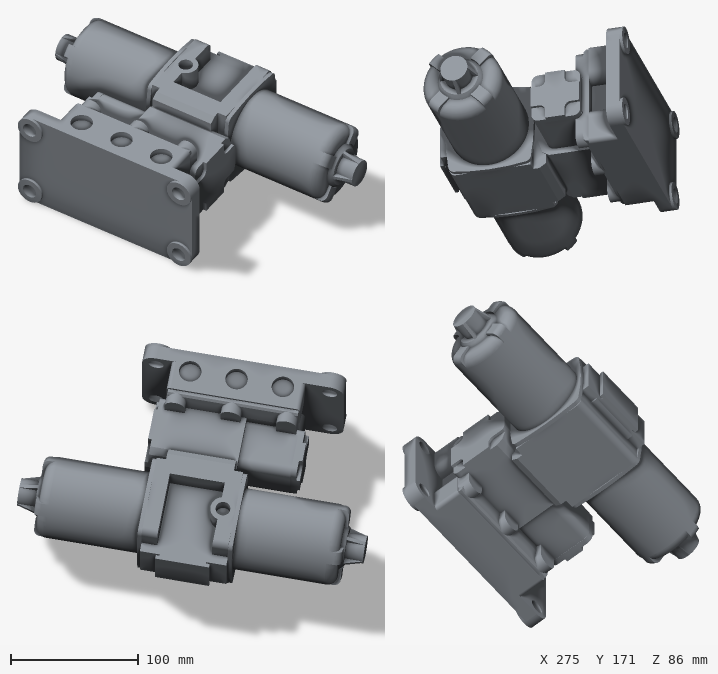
import cadquery as cq


overall_length = 275.0
coil_radius = 64.0 / 2
coil_rib_start_x = 110.0
coil_lobe_x = 119.4
coil_rib_x = 121.8
coil_rib_width = 10.5
coil_rib_radius = 5.0
coil_lobe_radius = 8.2
nut_base_radius = 18.5
nut_top_radius = 15.5
nut_top_x = 123.0
stem_radius = 11.0
fin_width = 2.8

housing_length = 68.8
housing_height = 70.0
housing_back_y = 33.5
housing_front_y = -32.5
housing_edge_radius = 5.0
flange_thickness = 3.3
flange_half_side = 33.0
flange_bulge = 3.0
flange_corner_radius = 5.0
foot_length = 54.0
foot_chamfer_y = -37.5
foot_front_y = -43.0
foot_front_height = 62.7
step_length = 43.7
step_front_y = -21.0
eye_x = -24.5
eye_y = 1.5
eye_radius = 10.0
eye_hole_radius = 5.8
eye_hole_depth = 11.0

connector_height = 34.5
connector_back_y = 41.0
label_length = 43.0
label_back_y = 45.0
label_neck_length = 36.8
label_neck_back_y = 42.0
lip_depth = 1.6
lip_back_y = 38.8

body_left_x = -27.8
body_right_x = 44.8
body_half_height = 25.0
body_back_y = -35.5
body_nose_half_height = 8.2
body_slope_y = -40.2
body_slope_half_height = 21.7
body_shoulder_y = -45.6
body_front_y = -83.3
end_cap_left_x = 36.8
end_cap_front_y = -89.6
end_cap_edge_radius = 5.5

cover_left_x = -77.0
cover_back_y = -44.8
cover_front_y = -84.5
cover_height = 40.7
cover_edge_radius = 5.5
cover_sleeve_left_x = -69.5
cover_sleeve_back_y = -44.3
cover_sleeve_front_y = -85.0
cover_sleeve_height = 40.2
cover_sleeve_edge_radius = 6.3

pocket_depth = 2.8
pocket_size = 11.8
pocket_radius = 5.0

screw_flange_left_x = -68.0
screw_flange_right_x = 35.8
screw_flange_half_height = 41.0
screw_flange_slope_y = -85.5
screw_flange_edge_y = -87.2
screw_flange_edge_drop = 1.6
screw_flange_notch_height = 33.5
screw_flange_notch_depth = 2.8
screw_lobe_radius = 8.0
screw_lobe_back_y = -78.6
screw_center_x = -15.7
screw_pitch = 44.3

manifold_length = 106.2
manifold_center_x = -16.0
manifold_back_y = -89.6
manifold_front_y = -115.5
manifold_edge_radius = 3.3
waist_height = 24.2
waist_depth = 9.4
waist_lip_radius = 9.0
port_radius = 8.8
port_depth = 5.5
port_center_x = -15.5
port_pitch = 36.8
port_y = -106.7

plate_length = 160.0
plate_height = 86.0
plate_center_x = -19.2
plate_back_y = -112.8
plate_front_y = -123.8
pad_radius = 11.0
pad_front_y = -126.0
bolt_hole_radius = 6.0


def box(x0, x1, y0, y1, z0, z1):
    """Box between opposite corner coordinates."""
    return cq.Workplane("XY").box(x1 - x0, y1 - y0, z1 - z0, centered=False).translate((x0, y0, z0))


def disc(radius, x0, x1):
    """Cylinder about the solenoid axis."""
    return cq.Workplane("YZ", origin=(x0, 0, 0)).circle(radius).extrude(x1 - x0)


def xz_plane(y):
    """Workplane facing -Y at the given Y, with local axes X and Z."""
    return cq.Workplane("XZ", origin=(0, y, 0))


def make_coil():
    """Solenoid on the +X side, with its ribbed end, nut and finned stem."""
    lobes = disc(coil_radius, housing_length / 2, coil_lobe_x).faces(">X").edges().fillet(coil_lobe_radius)
    rib_envelope = disc(coil_radius, housing_length / 2, coil_rib_x)
    rib_envelope = rib_envelope.faces(">X").edges().fillet(coil_rib_radius)
    half_rib = coil_rib_width / 2
    bar = box(coil_rib_start_x, coil_rib_x, -coil_radius, coil_radius, -half_rib, half_rib)
    ribs = bar.rotate((0, 0, 0), (1, 0, 0), 45).union(bar.rotate((0, 0, 0), (1, 0, 0), 135))
    ribs = ribs.intersect(rib_envelope).cut(disc(nut_base_radius, coil_lobe_x, coil_rib_x))
    coil = lobes.union(ribs)

    stem_end_x = overall_length / 2
    nut = (
        cq.Workplane("XY")
        .moveTo(coil_rib_start_x, 0)
        .lineTo(coil_rib_start_x, nut_base_radius)
        .lineTo(coil_lobe_x, nut_base_radius)
        .lineTo(nut_top_x, nut_top_radius)
        .lineTo(nut_top_x, stem_radius)
        .lineTo(stem_end_x, stem_radius)
        .lineTo(stem_end_x, 0)
        .close()
        .revolve(360, (0, 0, 0), (1, 0, 0))
    )
    coil = coil.union(nut)
    fin = (
        cq.Workplane("XY", origin=(0, 0, -fin_width / 2))
        .polyline(
            [
                (nut_top_x, -nut_top_radius),
                (stem_end_x, -stem_radius),
                (stem_end_x, stem_radius),
                (nut_top_x, nut_top_radius),
            ]
        )
        .close()
        .extrude(fin_width)
    )
    for angle in (0, 90):
        coil = coil.union(fin.rotate((0, 0, 0), (1, 0, 0), angle))
    return coil


def make_coil_flange():
    """Square end plate of the housing on the +X side, with slightly bulged sides."""
    side = flange_half_side
    bulge = side + flange_bulge
    return (
        cq.Workplane("YZ", origin=(housing_length / 2, 0, 0))
        .moveTo(-side, -side)
        .threePointArc((0, -bulge), (side, -side))
        .threePointArc((bulge, 0), (side, side))
        .threePointArc((0, bulge), (-side, side))
        .threePointArc((-bulge, 0), (-side, -side))
        .close()
        .extrude(flange_thickness)
        .edges("|X")
        .fillet(flange_corner_radius)
    )


def make_housing():
    """Housing between the solenoids, with its stepped top, foot and connector."""
    half_length = housing_length / 2
    top = housing_height / 2
    connector_top = connector_height / 2
    housing = box(-half_length, half_length, housing_front_y, housing_back_y, -top, top)
    housing = housing.edges("|X and >Y").fillet(housing_edge_radius)

    foot = (
        cq.Workplane("YZ", origin=(-foot_length / 2, 0, 0))
        .polyline(
            [
                (housing_front_y, -top),
                (foot_chamfer_y, -top),
                (foot_front_y, -foot_front_height / 2),
                (foot_front_y, foot_front_height / 2),
                (foot_chamfer_y, top),
                (housing_front_y, top),
            ]
        )
        .close()
        .extrude(foot_length)
    )
    housing = housing.union(foot)

    half_step = step_length / 2
    housing = housing.cut(box(-half_step, half_step, step_front_y, housing_back_y, connector_top, top))
    eye = cq.Workplane("XY").center(eye_x, eye_y).circle(eye_radius).extrude(top)
    housing = housing.union(eye)
    eye_hole = (
        cq.Workplane("XY", origin=(eye_x, eye_y, top)).circle(eye_hole_radius).extrude(-eye_hole_depth)
    )

    half_label = label_length / 2
    half_neck = label_neck_length / 2
    connector = box(-half_length, half_length, 0, connector_back_y, -connector_top, connector_top)
    lip = box(-half_step, half_step, 0, lip_back_y, -connector_top - lip_depth, 0)
    neck = box(-half_neck, half_neck, 0, label_neck_back_y, -connector_top, connector_top)
    label = box(
        -half_label, half_label, label_neck_back_y, label_back_y, -connector_top, connector_top
    )
    connector = connector.union(lip).union(neck).union(label)
    return housing.union(connector).cut(eye_hole)


def cut_corner_pockets(solid, face_x, inward, y_front, y_back, half_height):
    """Cut a shallow pocket in each corner of an end face; inward is the X direction into the solid."""
    for y in (y_front, y_back):
        for z in (-half_height, half_height):
            pocket = (
                cq.Workplane("YZ", origin=(face_x, y, z))
                .rect(2 * pocket_size, 2 * pocket_size)
                .extrude(inward * pocket_depth)
                .edges("|X")
                .fillet(pocket_radius)
            )
            solid = solid.cut(pocket)
    return solid


def make_body():
    """Main valve body with a sloped nose towards the housing and a deeper right end cap."""
    body = (
        cq.Workplane("YZ", origin=(body_left_x, 0, 0))
        .polyline(
            [
                (body_front_y, -body_half_height),
                (body_shoulder_y, -body_half_height),
                (body_slope_y, -body_slope_half_height),
                (body_back_y, -body_nose_half_height),
                (body_back_y, body_nose_half_height),
                (body_slope_y, body_slope_half_height),
                (body_shoulder_y, body_half_height),
                (body_front_y, body_half_height),
            ]
        )
        .close()
        .extrude(body_right_x - body_left_x)
    )
    end_cap = box(
        end_cap_left_x, body_right_x, end_cap_front_y, body_shoulder_y, -body_half_height, body_half_height
    )
    end_cap = end_cap.edges("|X and <Y").fillet(end_cap_edge_radius)
    return cut_corner_pockets(
        body.union(end_cap), body_right_x, -1, end_cap_front_y, body_slope_y, body_half_height
    )


def make_cover():
    """Pilot cover on the left end of the body."""
    half_height = cover_height / 2
    cover = box(cover_left_x, cover_sleeve_left_x, cover_front_y, cover_back_y, -half_height, half_height)
    cover = cover.edges("|X").fillet(cover_edge_radius)
    sleeve_top = cover_sleeve_height / 2
    sleeve = box(
        cover_sleeve_left_x, body_left_x, cover_sleeve_front_y, cover_sleeve_back_y, -sleeve_top, sleeve_top
    )
    cover = cover.union(sleeve.edges("|X").fillet(cover_sleeve_edge_radius))
    return cut_corner_pockets(
        cover, cover_left_x, 1, cover_front_y, cover_back_y, half_height
    )


def make_screw_flange():
    """Base of the valve body with three screw lobes on each side."""
    slope_half_height = screw_flange_half_height - screw_flange_edge_drop
    flange = (
        cq.Workplane("YZ", origin=(screw_flange_left_x, 0, 0))
        .polyline(
            [
                (manifold_back_y, -screw_flange_half_height),
                (screw_flange_edge_y, -screw_flange_half_height),
                (screw_flange_slope_y, -slope_half_height),
                (body_front_y, -body_half_height),
                (body_front_y, body_half_height),
                (screw_flange_slope_y, slope_half_height),
                (screw_flange_edge_y, screw_flange_half_height),
                (manifold_back_y, screw_flange_half_height),
            ]
        )
        .close()
        .extrude(screw_flange_right_x - screw_flange_left_x)
    )
    for end_x in (screw_flange_left_x, screw_flange_right_x):
        notch = (
            xz_plane(body_front_y)
            .center(end_x, 0)
            .rect(2 * screw_flange_notch_depth, screw_flange_notch_height)
            .extrude(body_front_y - manifold_back_y)
        )
        flange = flange.cut(notch)
    for i in (-1, 0, 1):
        lobes = (
            xz_plane(screw_lobe_back_y)
            .center(screw_center_x + i * screw_pitch, 0)
            .slot2D(2 * screw_flange_half_height, 2 * screw_lobe_radius, 90)
            .extrude(screw_lobe_back_y - manifold_back_y)
        )
        flange = flange.union(lobes)
    return flange


def make_manifold():
    """Manifold block with waisted ends, its front set into the mounting plate."""
    half_length = manifold_length / 2
    manifold = (
        xz_plane(manifold_back_y)
        .center(manifold_center_x, 0)
        .rect(manifold_length, plate_height)
        .extrude(manifold_back_y - manifold_front_y)
        .edges("|Y")
        .fillet(manifold_edge_radius)
    )
    for side in (-1, 1):
        end_x = manifold_center_x + side * half_length
        waist = (
            xz_plane(manifold_back_y)
            .center(end_x, 0)
            .rect(2 * waist_depth, waist_height)
            .extrude(manifold_back_y - manifold_front_y)
        )
        reach = waist_depth / 2
        lip_edges = cq.selectors.BoxSelector(
            (end_x - reach, manifold_front_y, -waist_height), (end_x + reach, manifold_back_y, waist_height)
        )
        manifold = manifold.cut(waist).edges(lip_edges).edges("|Y").fillet(waist_lip_radius)
    return manifold


def make_ports():
    """Blind port holes in the top of the manifold, running partly into the plate."""
    centers = [(port_center_x + i * port_pitch, port_y) for i in (-1, 0, 1)]
    top = cq.Workplane("XY", origin=(0, 0, plate_height / 2))
    return top.pushPoints(centers).circle(port_radius).extrude(-port_depth)


def make_plate():
    """Mounting plate with a raised pad and a through hole in each corner."""
    bolt_points = [
        (plate_center_x + sx * (plate_length / 2 - pad_radius), sz * (plate_height / 2 - pad_radius))
        for sx in (-1, 1)
        for sz in (-1, 1)
    ]
    pad_height = plate_front_y - pad_front_y
    hole_depth = plate_back_y - pad_front_y
    plate = (
        xz_plane(plate_back_y)
        .center(plate_center_x, 0)
        .rect(plate_length, plate_height)
        .extrude(plate_back_y - plate_front_y)
        .edges("|Y")
        .fillet(pad_radius)
    )
    pads = xz_plane(plate_front_y).pushPoints(bolt_points).circle(pad_radius).extrude(pad_height)
    holes = xz_plane(plate_back_y).pushPoints(bolt_points).circle(bolt_hole_radius).extrude(hole_depth)
    return plate.union(pads).cut(holes)


right_end = make_coil().union(make_coil_flange())
left_end = right_end.mirror("YZ")

result = make_housing()
for part in (
    right_end,
    left_end,
    make_body(),
    make_cover(),
    make_screw_flange(),
    make_manifold(),
    make_plate(),
):
    result = result.union(part)
result = result.cut(make_ports())